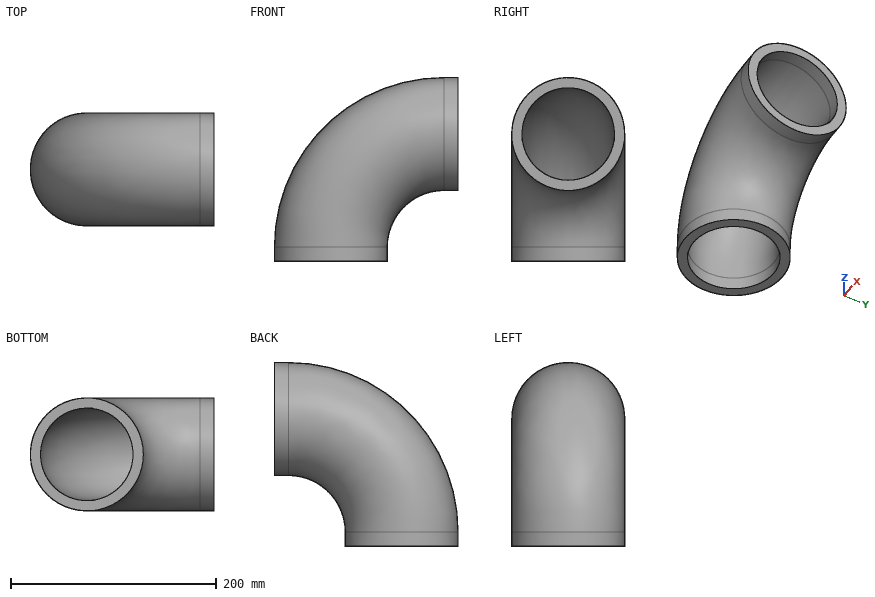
import cadquery as cq

overall_length = 179.0
outer_diameter = 110.0
bore_diameter = 90.0
collar_length = 14.0

bend_radius = overall_length - collar_length - outer_diameter / 2
bend_angle = 90


def pipe_ring(plane):
    """Annular pipe section centred on the origin of the plane."""
    return cq.Workplane(plane).circle(outer_diameter / 2).circle(bore_diameter / 2)


lower_collar = pipe_ring("XY").extrude(collar_length)

bend_start = cq.Plane(origin=(0, 0, collar_length), xDir=(1, 0, 0), normal=(0, 0, 1))
bend = pipe_ring(bend_start).revolve(bend_angle, (bend_radius, 0), (bend_radius, 1))

bend_end = cq.Plane(
    origin=(bend_radius, 0, collar_length + bend_radius),
    xDir=(0, 1, 0),
    normal=(1, 0, 0),
)
upper_collar = pipe_ring(bend_end).extrude(collar_length)

result = lower_collar.union(bend).union(upper_collar)